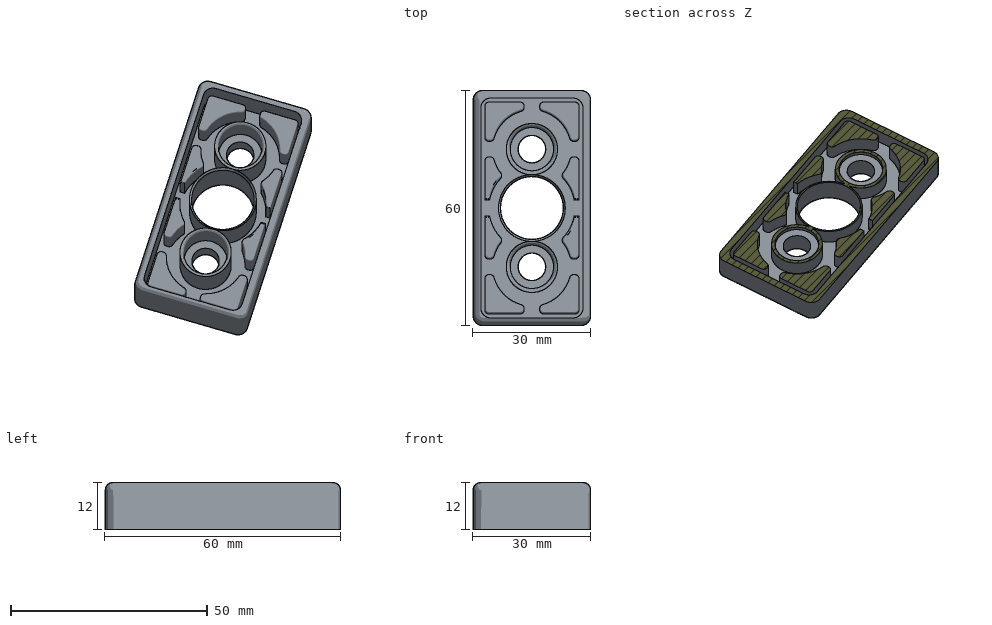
import cadquery as cq
import math

width = 30.0
length = 60.0
height = 12.0
wall = 2.0
floor_thickness = 2.0
corner_radius = 2.5
rim_radius = wall

bore_radius = 8.0
bore_tube_radius = 8.5
bolt_hole_radius = 3.5
bolt_seat_radius = 5.5
bolt_seat_height = 5.15
bolt_tube_radius = 6.55
bolt_offset = length / 4

rib_height = 9.0
rib_edge_inset = 3.0
rib_half_gap = 2.0
rib_corner_radius = 1.0
rib_top_radius = 0.5
bolt_clearance_radius = 10.0
bore_clearance_radius = 11.0

rib_outer_x = width / 2 - rib_edge_inset
rib_outer_y = length / 2 - rib_edge_inset


def cylinder(radius, y=0.0):
    """Full-height upright cylinder centred on the YZ plane."""
    return cq.Workplane("XY").center(0, y).circle(radius).extrude(height)


def rounded_block(size_x, size_y, bottom):
    """Block from the given level to the top, with rounded upright edges."""
    block = cq.Workplane("XY", origin=(0, 0, bottom)).rect(size_x, size_y).extrude(height - bottom)
    return block.edges("|Z").fillet(corner_radius)


def make_bore_cutter():
    """Through bore whose 45-degree chamfered mouth reaches the outside of its tube."""
    chamfer = bore_tube_radius - bore_radius
    profile = (
        cq.Workplane("XZ")
        .lineTo(bore_radius, 0)
        .lineTo(bore_radius, height - chamfer)
        .lineTo(bore_tube_radius, height)
        .lineTo(0, height)
        .close()
    )
    return profile.revolve(360, (0, 0), (0, 1))


def make_bolt_cutter(y):
    """Bolt hole and seat whose mouth widens in a quarter round to the outside of the tube."""
    flare = bolt_tube_radius - bolt_seat_radius
    arc_middle = flare * (1 - math.sqrt(0.5))
    profile = (
        cq.Workplane("XZ")
        .lineTo(bolt_hole_radius, 0)
        .lineTo(bolt_hole_radius, bolt_seat_height)
        .lineTo(bolt_seat_radius, bolt_seat_height)
        .lineTo(bolt_seat_radius, height - flare)
        .threePointArc(
            (bolt_seat_radius + arc_middle, height - arc_middle),
            (bolt_tube_radius, height),
        )
        .lineTo(0, height)
        .close()
    )
    return profile.revolve(360, (0, 0), (0, 1)).translate((0, y, 0))


def rib_blank(y_min, y_max):
    """Rib on the +X, +Y side before rounding, cut back around both tubes."""
    blank = (
        cq.Workplane("XY")
        .moveTo(rib_half_gap, y_min)
        .lineTo(rib_outer_x, y_min)
        .lineTo(rib_outer_x, y_max)
        .lineTo(rib_half_gap, y_max)
        .close()
        .extrude(rib_height)
    )
    blank = blank.cut(cylinder(bolt_clearance_radius, bolt_offset))
    return blank.cut(cylinder(bore_clearance_radius))


def make_corner_rib():
    rib = rib_blank(bolt_offset + rib_half_gap, rib_outer_y)
    rib = rib.edges("|Z").fillet(rib_corner_radius)
    return rib.faces(">Z").edges().fillet(rib_top_radius)


def make_side_rib():
    """The narrow end nearest the X axis keeps its sharp upright edges."""
    rib = rib_blank(rib_half_gap, bolt_offset - rib_half_gap)
    beyond_narrow_end = cq.selectors.BoxSelector((0, 2 * rib_half_gap, 0), (width, length, height))
    rib = rib.edges("|Z").edges(beyond_narrow_end).fillet(rib_corner_radius)
    return rib.faces(">Z").edges().fillet(rib_top_radius)


def make_tray():
    outside = rounded_block(width, length, 0)
    outside = outside.faces(">Z").edges().fillet(rim_radius)
    cavity = rounded_block(width - 2 * wall, length - 2 * wall, floor_thickness)
    return outside.cut(cavity)


result = make_tray()

for rib in (make_corner_rib(), make_side_rib()):
    for half in (rib, rib.mirror("YZ")):
        result = result.union(half).union(half.mirror("XZ"))

bolt_places = (-bolt_offset, bolt_offset)
result = result.union(cylinder(bore_tube_radius))
for y in bolt_places:
    result = result.union(cylinder(bolt_tube_radius, y))

result = result.cut(make_bore_cutter())
for y in bolt_places:
    result = result.cut(make_bolt_cutter(y))

result = result.solids()